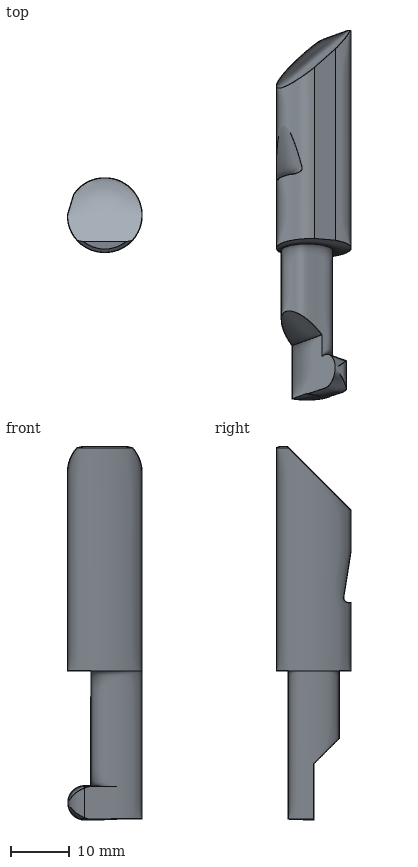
import cadquery as cq
import math


SHANK_DIAMETER = 12.7
SHANK_RADIUS = SHANK_DIAMETER / 2
OVERALL_LENGTH = 63.39
SHANK_LENGTH = 38.1
SHANK_BOTTOM = OVERALL_LENGTH - SHANK_LENGTH
RIM_CHAMFER_WIDTH = 0.6
RIM_CHAMFER_HEIGHT = 0.25
BEVEL_START_Y = -4.5
FLAT_SPAN_ANGLE = 34.0

NOTCH_BOTTOM = 36.9
NOTCH_TOP = 45.7
NOTCH_RAMP_ANGLE = 9.0
NOTCH_CORNER_RADIUS = 0.8

NECK_RADIUS = 4.365
NECK_CENTRE_X = SHANK_RADIUS - NECK_RADIUS
NECK_BOTTOM = 0.2
RELIEF_BOTTOM = 9.55

NOSE_RADIUS = 2.93
NOSE_CENTRE_X = -3.34
SIDE_CLEARANCE_ANGLE = 2.0
FLANK_RISE = 0.1
NOSE_CENTRE_SHIFT = 1.1
HEEL_X = -3.45
HEEL_RADIUS = 8.6

CLEARANCE = 1.0


def prism_along_x(points):
    """Prism with a (Y, Z) outline, running right across the shank."""
    outline = cq.Workplane("YZ").polyline(points).close()
    return outline.extrude(SHANK_RADIUS + CLEARANCE, both=True)


def make_shank():
    shank = (
        cq.Workplane("XY", origin=(0, 0, SHANK_BOTTOM))
        .circle(SHANK_RADIUS)
        .extrude(SHANK_LENGTH)
        .faces(">Z")
        .chamfer(RIM_CHAMFER_HEIGHT, RIM_CHAMFER_WIDTH)
    )
    return shank.cut(end_bevel()).cut(side_flat()).cut(clamping_notch())


def end_bevel():
    far_y = SHANK_RADIUS + CLEARANCE
    drop = far_y - BEVEL_START_Y
    return prism_along_x([
        (BEVEL_START_Y, OVERALL_LENGTH),
        (far_y, OVERALL_LENGTH),
        (far_y, OVERALL_LENGTH - drop),
    ])


def side_flat():
    """Chord cut that starts at the -X quadrant and leans toward +Y."""
    span = math.radians(FLAT_SPAN_ANGLE)
    chord_start = (-SHANK_RADIUS, 0)
    chord_end = (-SHANK_RADIUS * math.cos(span), SHANK_RADIUS * math.sin(span))
    outer_corner = (-SHANK_RADIUS, chord_end[1])
    return (
        cq.Workplane("XY", origin=(0, 0, SHANK_BOTTOM))
        .polyline([chord_start, chord_end, outer_corner])
        .close()
        .extrude(SHANK_LENGTH)
    )


def clamping_notch():
    """Notch with a flat lower wall, a sloping floor and a rounded inner corner."""
    slope = math.tan(math.radians(NOTCH_RAMP_ANGLE))
    outer_y = SHANK_RADIUS + CLEARANCE
    floor_y = SHANK_RADIUS - (NOTCH_TOP - NOTCH_BOTTOM) * slope
    notch = prism_along_x([
        (outer_y, NOTCH_BOTTOM),
        (floor_y, NOTCH_BOTTOM),
        (outer_y, NOTCH_TOP + CLEARANCE / slope),
    ])
    return notch.edges("<Y").fillet(NOTCH_CORNER_RADIUS)


def make_neck():
    neck = (
        cq.Workplane("XY", origin=(NECK_CENTRE_X, 0, NECK_BOTTOM))
        .circle(NECK_RADIUS)
        .extrude(SHANK_BOTTOM - NECK_BOTTOM)
    )
    far_y = NECK_RADIUS + CLEARANCE
    relief = prism_along_x([
        (0, NECK_BOTTOM),
        (far_y, NECK_BOTTOM),
        (far_y, RELIEF_BOTTOM + far_y),
        (0, RELIEF_BOTTOM),
    ])
    return neck.cut(relief)


def head_outline(y, nose_radius, nose_centre_x):
    """Closed round-nosed outline in the XZ plane at the given Y."""
    top = NOSE_RADIUS + nose_radius
    bottom = NOSE_RADIUS - nose_radius
    return (
        cq.Workplane("XZ", origin=(0, y, 0))
        .moveTo(NECK_CENTRE_X, bottom + FLANK_RISE)
        .lineTo(nose_centre_x, bottom)
        .threePointArc((nose_centre_x - nose_radius, NOSE_RADIUS), (nose_centre_x, top))
        .lineTo(NECK_CENTRE_X, top)
        .close()
        .val()
    )


def make_head():
    """Round-nosed head that narrows behind the cutting face, with a relieved heel."""
    back_y = -NECK_RADIUS
    back_radius = NOSE_RADIUS - NECK_RADIUS * math.tan(math.radians(SIDE_CLEARANCE_ANGLE))
    front = head_outline(0, NOSE_RADIUS, NOSE_CENTRE_X)
    back = head_outline(back_y, back_radius, NOSE_CENTRE_X + NOSE_CENTRE_SHIFT)
    head = cq.Workplane(cq.Solid.makeLoft([front, back], True))
    tip_x = NOSE_CENTRE_X - NOSE_RADIUS
    heel_relief = (
        cq.Workplane("XY")
        .moveTo(tip_x, 0)
        .radiusArc((HEEL_X, back_y), -HEEL_RADIUS)
        .lineTo(tip_x, back_y)
        .close()
        .extrude(2 * NOSE_RADIUS)
    )
    return head.cut(heel_relief)


result = make_shank().union(make_neck()).union(make_head())